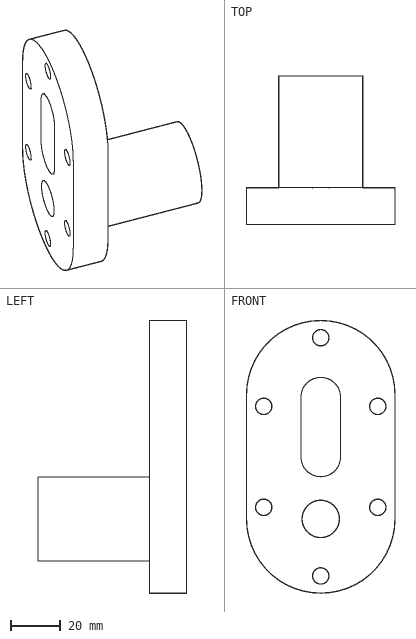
import cadquery as cq

plate_height = 110.0
plate_width = 60.0
plate_thickness = 15.0

total_depth = 60.0
boss_diameter = 34.0
bore_diameter = 15.0
end_center = (plate_height - plate_width) / 2
boss_z = -end_center

slot_width = 16.0
slot_height = 40.0
slot_depth = 8.0
slot_z = 12.0

bolt_diameter = 6.5
bolt_circle_radius = 23.0
end_bolt_z = end_center + bolt_circle_radius
side_bolt_z = 20.4


def front_plane(z=0):
    """Workplane on the front face, facing outward (-Y)."""
    return cq.Workplane(cq.Plane(origin=(0, 0, z), xDir=(1, 0, 0), normal=(0, -1, 0)))


def rounded_bar(z, height, width, depth):
    """Upright bar with full-round ends, running back from the front face."""
    return front_plane(z).slot2D(height, width, 90).extrude(-depth)


def cylinder(x, z, diameter, depth):
    """Cylinder along Y, running back from the front face."""
    return front_plane(z).center(x, 0).circle(diameter / 2).extrude(-depth)


plate = rounded_bar(0, plate_height, plate_width, plate_thickness)
boss = cylinder(0, boss_z, boss_diameter, total_depth)
bore = cylinder(0, boss_z, bore_diameter, total_depth)
slot = rounded_bar(slot_z, slot_height, slot_width, slot_depth)

result = plate.union(boss).cut(bore).cut(slot)

for side in (-1, 1):
    result = result.cut(cylinder(0, side * end_bolt_z, bolt_diameter, plate_thickness))
    for end in (-1, 1):
        bolt_hole = cylinder(side * bolt_circle_radius, end * side_bolt_z, bolt_diameter, plate_thickness)
        result = result.cut(bolt_hole)